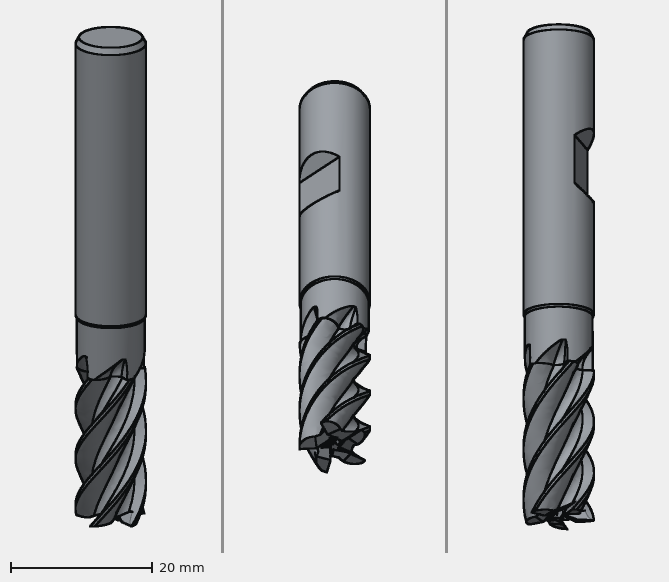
import cadquery as cq
import math


length = 72.0
radius = 5.005
head_length = 22.0

neck_radius = 4.8
neck_top = 30.0
neck_cone_height = 0.35

end_chamfer_width = 0.5
end_chamfer_height = 0.9

flat_depth = 1.7
flat_bottom = 48.5
flat_top = 55.6

teeth = 5
tooth_pitch = 360.0 / teeth
helix_angle = 40.0
lead = 2 * math.pi * radius / math.tan(math.radians(helix_angle))
twist = 360.0 * head_length / lead
top_edge_angle = 248.0
tip_edge_angle = top_edge_angle - twist

margin_angle = 7.5
back_angle = 22.0
back_radius = 4.25
heel_angle = 40.0
heel_radius = 2.7
floor_angle = 55.0
floor_radius = 2.7
rake_angle = 70.0
rake_radius = 3.4

runout_end_angle = 69.0
runout_middle_height = 1.9
runout_middle_start_angle = 36.0
runout_middle_depth_share = 0.75
runout_height = 3.2
runout_tip_start_angle = 56.0
runout_tip_end_angle = 66.0
runout_tip_depth_share = 0.1

gash_height = 1.65
gash_width = 2.45
gash_lean = 1.0
gash_inner_radius = 0.6

end_relief_width = 3.6
end_relief_rise = 0.5
end_relief_inner_radius = 1.6

clear_radius = 6.5


def polar(r, angle):
    """Point at radius r and an angle in degrees about Z."""
    turn = math.radians(angle)
    return (r * math.cos(turn), r * math.sin(turn))


def radial_prism(points, inner_radius, edge):
    """Prism running outward at the angle `edge`; points are (distance across, Z)."""
    prism = (
        cq.Workplane("YZ", origin=(inner_radius, 0, 0))
        .polyline(points)
        .close()
        .extrude(clear_radius - inner_radius)
    )
    return prism.rotate((0, 0, 0), (0, 0, 1), edge)


def make_gash(edge):
    """V notch in front of an end cutting edge."""
    points = [(0, 0), (gash_lean, gash_height), (-gash_width, 0)]
    return radial_prism(points, gash_inner_radius, edge)


def make_end_relief(edge):
    """Thin wedge that makes the end face of a tooth rise behind its cutting edge."""
    points = [(0, 0), (end_relief_width, 0), (end_relief_width, end_relief_rise)]
    return radial_prism(points, end_relief_inner_radius, edge)


def make_head():
    """Twisted section with a margin, a convex back, a flute floor and a rake face per tooth."""
    edges = [tip_edge_angle + tooth * tooth_pitch for tooth in range(teeth)]
    section = cq.Workplane("XY").moveTo(*polar(radius, tip_edge_angle))
    for edge in edges:
        section = (
            section
            .threePointArc(polar(radius, edge + margin_angle / 2), polar(radius, edge + margin_angle))
            .threePointArc(polar(back_radius, edge + back_angle), polar(heel_radius, edge + heel_angle))
            .threePointArc(polar(floor_radius, edge + floor_angle), polar(rake_radius, edge + rake_angle))
            .lineTo(*polar(radius, edge + tooth_pitch))
        )
    head = section.close().twistExtrude(head_length, twist)
    for edge in edges:
        head = head.cut(make_gash(edge)).cut(make_end_relief(edge))
    return head


def runout_outline(edge, height, start_angle, end_angle, depth_share):
    """Flute outline squeezed between two angles, with its depth reduced to a share."""

    def point(r, angle):
        share = (angle - margin_angle) / (tooth_pitch - margin_angle)
        squeezed_angle = start_angle + share * (end_angle - start_angle)
        return polar(radius - (radius - r) * depth_share, edge + squeezed_angle)

    return (
        cq.Workplane("XY", origin=(0, 0, head_length + height))
        .moveTo(*point(radius, margin_angle))
        .threePointArc(point(back_radius, back_angle), point(heel_radius, heel_angle))
        .threePointArc(point(floor_radius, floor_angle), point(rake_radius, rake_angle))
        .lineTo(*point(radius, tooth_pitch))
        .lineTo(*polar(clear_radius, edge + end_angle))
        .lineTo(*polar(clear_radius, edge + start_angle))
        .close()
        .val()
    )


def make_runout(edge):
    """Pocket that carries a flute on into the neck and narrows to a shallow tip."""
    bottom = runout_outline(edge, 0, margin_angle, runout_end_angle, 1)
    middle = runout_outline(
        edge, runout_middle_height, runout_middle_start_angle, runout_end_angle, runout_middle_depth_share
    )
    tip = runout_outline(
        edge, runout_height, runout_tip_start_angle, runout_tip_end_angle, runout_tip_depth_share
    )
    return cq.Workplane(cq.Solid.makeLoft([bottom, middle, tip]))


def make_clamping_flat():
    floor_y = radius - flat_depth
    return (
        cq.Workplane("YZ")
        .moveTo(floor_y, flat_bottom)
        .lineTo(radius, flat_bottom - flat_depth)
        .lineTo(radius, flat_top + flat_depth)
        .lineTo(floor_y, flat_top)
        .close()
        .extrude(radius, both=True)
    )


def make_shank():
    """Turned neck and shank, less the clamping flat and the flute run-outs."""
    shank = (
        cq.Workplane("YZ")
        .moveTo(0, head_length)
        .lineTo(-neck_radius, head_length)
        .lineTo(-neck_radius, neck_top)
        .lineTo(-radius, neck_top + neck_cone_height)
        .lineTo(-radius, length - end_chamfer_height)
        .lineTo(-(radius - end_chamfer_width), length)
        .lineTo(0, length)
        .close()
        .revolve(360, (0, 0), (0, 1))
        .cut(make_clamping_flat())
    )
    for tooth in range(teeth):
        shank = shank.cut(make_runout(top_edge_angle + tooth * tooth_pitch))
    return shank


head = make_head()
shank = make_shank()
result = cq.Compound.makeCompound([head.solids().val(), shank.solids().val()])